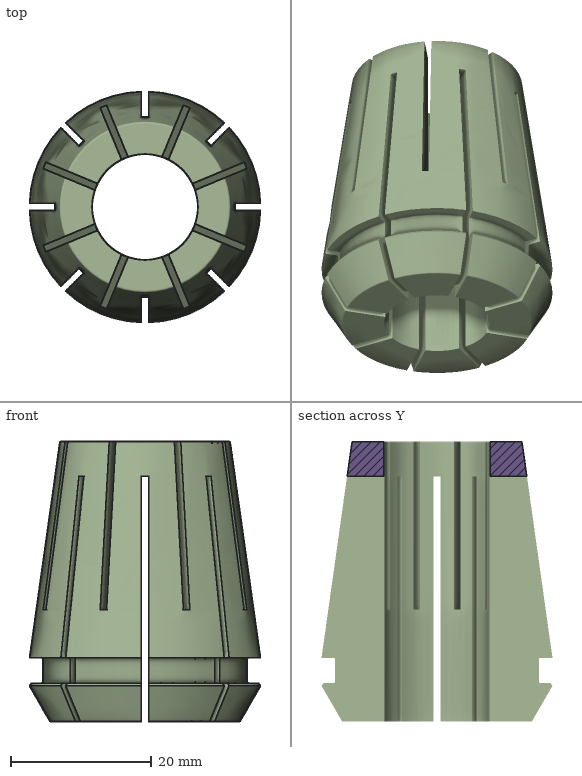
import cadquery as cq
import math


TOTAL_HEIGHT = 40.0
MAX_RADIUS = 33.0 / 2
BORE_RADIUS = 15.08 / 2

GRIP_HALF_ANGLE = 8.0
NUT_HALF_ANGLE = 30.0

GROOVE_BOTTOM = 5.5
GROOVE_TOP = 9.1
GROOVE_RADIUS = 29.2 / 2

RIM_CHAMFER_HEIGHT = 0.4
RIM_CHAMFER_WIDTH = 0.3
TOP_EDGE_RADIUS = 0.3
BORE_EDGE_RADIUS = 0.2
FOOT_EDGE_RADIUS = 0.2
GROOVE_CORNER_RADIUS = 0.2

SLITS_PER_SET = 8
SLIT_WIDTH = 1.0
SLIT_REACH = MAX_RADIUS + 1.0
LOWER_SLIT_TOP = 35.0
UPPER_SLIT_BOTTOM = 16.0

MATCH_TOLERANCE = 1e-4

NUT_CONE_TOP = GROOVE_BOTTOM - RIM_CHAMFER_HEIGHT
FOOT_RADIUS = MAX_RADIUS - NUT_CONE_TOP * math.tan(math.radians(NUT_HALF_ANGLE))
GRIP_SLOPE = math.tan(math.radians(GRIP_HALF_ANGLE))
TOP_RADIUS = MAX_RADIUS - (TOTAL_HEIGHT - GROOVE_TOP) * GRIP_SLOPE
SLIT_PITCH = 360.0 / SLITS_PER_SET


def collet_blank():
    """Revolve the half section of the unslit collet around Z."""
    section = [
        (BORE_RADIUS, 0),
        (FOOT_RADIUS, 0),
        (MAX_RADIUS, NUT_CONE_TOP),
        (MAX_RADIUS - RIM_CHAMFER_WIDTH, GROOVE_BOTTOM),
        (GROOVE_RADIUS, GROOVE_BOTTOM),
        (GROOVE_RADIUS, GROOVE_TOP),
        (MAX_RADIUS, GROOVE_TOP),
        (TOP_RADIUS, TOTAL_HEIGHT),
        (BORE_RADIUS, TOTAL_HEIGHT),
    ]
    return cq.Workplane("XZ").polyline(section).close().revolve(360, (0, 0), (0, 1))


def round_ring(body, radius, height, fillet_radius):
    """Fillet the circular edge that has the given radius and height."""
    def is_wanted(edge):
        radius_error = abs(edge.radius() - radius)
        height_error = abs(edge.Center().z - height)
        return max(radius_error, height_error) < MATCH_TOLERANCE

    return body.edges("%CIRCLE").filter(is_wanted).fillet(fillet_radius)


def round_edges(body):
    """Round the outer ends, the mouth of the bore and the inner corners of the groove."""
    body = round_ring(body, TOP_RADIUS, TOTAL_HEIGHT, TOP_EDGE_RADIUS)
    body = round_ring(body, BORE_RADIUS, TOTAL_HEIGHT, BORE_EDGE_RADIUS)
    body = round_ring(body, FOOT_RADIUS, 0, FOOT_EDGE_RADIUS)
    for height in (GROOVE_BOTTOM, GROOVE_TOP):
        body = round_ring(body, GROOVE_RADIUS, height, GROOVE_CORNER_RADIUS)
    return body


def slit_set(bottom, top, first_angle):
    """Evenly spaced radial slits from the axis outwards, between two heights."""
    cutter = cq.Workplane("XY")
    for index in range(SLITS_PER_SET):
        slit = (
            cq.Workplane("XY", origin=(0, 0, bottom))
            .rect(SLIT_REACH, SLIT_WIDTH)
            .extrude(top - bottom)
            .translate((SLIT_REACH / 2, 0, 0))
            .rotate((0, 0, 0), (0, 0, 1), first_angle + index * SLIT_PITCH)
        )
        cutter = cutter.add(slit)
    return cutter.combine()


lower_slits = slit_set(0, LOWER_SLIT_TOP, 0)
upper_slits = slit_set(UPPER_SLIT_BOTTOM, TOTAL_HEIGHT, SLIT_PITCH / 2)

result = round_edges(collet_blank()).cut(lower_slits).cut(upper_slits)